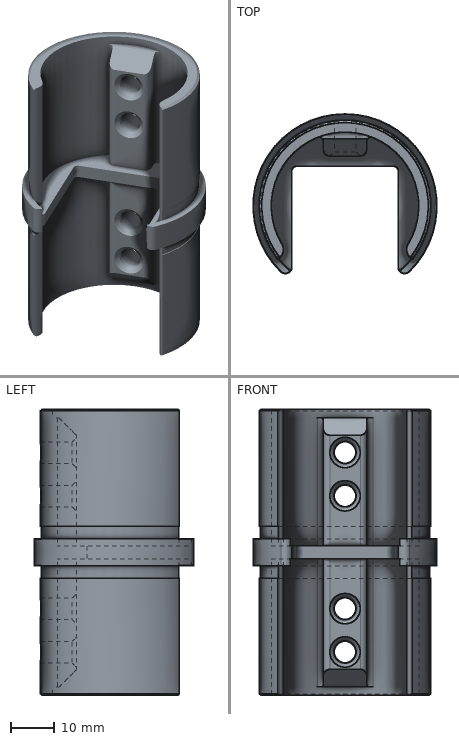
import cadquery as cq
import math

tube_length = 66.0
tube_radius = 19.8
bore_radius = 17.0
end_chamfer_height = 0.4
end_chamfer_depth = 0.6
lip_round = 2.5
tube_end_angle = -38.4
waist_radius = 19.6
waist_length = 12.0

collar_radius = 21.2
collar_height = 6.2
web_height = 3.0
slot_width = 24.5
slot_floor_y = 9.1
slot_corner_round = 1.0
tip_round = 1.5

rib_length = 62.0
rib_width = 10.0
rib_front_y = 11.5
rib_edge_round = 1.5
rib_root_round = 1.0
rib_end_slope = 4.0

hole_diameter = 5.0
countersink_diameter = 7.0
hole_heights = (-23.0, -13.0, 13.0, 23.0)


def polar(radius, degrees):
    angle = math.radians(degrees)
    return (radius * math.cos(angle), radius * math.sin(angle))


def mirrored(point):
    return (-point[0], point[1])


def centred_disc(radius, height):
    return cq.Workplane("XY").circle(radius).extrude(height / 2, both=True)


def tube_blank():
    """C-shaped tube with radial end faces, rounded into the bore."""
    lip_centre_radius = bore_radius + lip_round
    lip_angle = tube_end_angle + math.degrees(math.asin(lip_round / lip_centre_radius))
    lip_centre = polar(lip_centre_radius, lip_angle)
    bore_end = polar(bore_radius, lip_angle)
    face_start = polar(math.sqrt(lip_centre_radius**2 - lip_round**2), tube_end_angle)
    face_end = polar(tube_radius, tube_end_angle)
    lip_offset = polar(lip_round, (lip_angle + 180 + tube_end_angle + 270) / 2)
    lip_middle = (lip_centre[0] + lip_offset[0], lip_centre[1] + lip_offset[1])
    return (
        cq.Workplane("XY")
        .moveTo(*face_end)
        .threePointArc((0, tube_radius), mirrored(face_end))
        .lineTo(*mirrored(face_start))
        .threePointArc(mirrored(lip_middle), mirrored(bore_end))
        .threePointArc((0, bore_radius), bore_end)
        .threePointArc(lip_middle, face_start)
        .close()
        .extrude(tube_length / 2, both=True)
    )


def end_cone():
    """Tapered top slice of the tube envelope, giving its end chamfer."""
    return (
        cq.Workplane("XY", origin=(0, 0, tube_length / 2 - end_chamfer_height))
        .circle(tube_radius)
        .workplane(offset=end_chamfer_height)
        .circle(tube_radius - end_chamfer_depth)
        .loft(ruled=True)
    )


def make_tube():
    envelope = (
        centred_disc(tube_radius, tube_length - 2 * end_chamfer_height)
        .union(end_cone())
        .union(end_cone().mirror("XY"))
    )
    waist_groove = centred_disc(collar_radius, waist_length).cut(centred_disc(waist_radius, waist_length))
    return tube_blank().intersect(envelope).cut(waist_groove)


def make_rib():
    """Rib blending into the bore, with rounded front edges and sloped ends."""
    half_width = rib_width / 2
    root_x = half_width + rib_root_round
    root_y = math.sqrt((bore_radius - rib_root_round) ** 2 - root_x**2)
    root_scale = bore_radius / (bore_radius - rib_root_round)
    bore_contact = (root_x * root_scale, root_y * root_scale)
    root_angle = (180 + math.degrees(math.atan2(root_y, root_x))) / 2
    root_offset = polar(rib_root_round, root_angle)
    root_middle = (root_x + root_offset[0], root_y + root_offset[1])
    wall_middle = (0, (bore_radius + tube_radius) / 2)

    profile = (
        cq.Workplane("XY")
        .moveTo(-half_width, rib_front_y)
        .lineTo(half_width, rib_front_y)
        .lineTo(half_width, root_y)
        .threePointArc(root_middle, bore_contact)
        .threePointArc(wall_middle, mirrored(bore_contact))
        .threePointArc(mirrored(root_middle), (-half_width, root_y))
        .close()
        .extrude(rib_length / 2, both=True)
    )
    rib = profile.faces("<Y").edges("|Z").fillet(rib_edge_round)

    half_length = rib_length / 2
    side_outline = (
        cq.Workplane("YZ")
        .moveTo(rib_front_y, half_length - rib_end_slope)
        .lineTo(rib_front_y + rib_end_slope, half_length)
        .lineTo(tube_radius, half_length)
        .lineTo(tube_radius, -half_length)
        .lineTo(rib_front_y + rib_end_slope, -half_length)
        .lineTo(rib_front_y, rib_end_slope - half_length)
        .close()
        .extrude(bore_radius, both=True)
    )
    return rib.intersect(side_outline)


def collar_outline(height):
    """Disc with a round-cornered slot open toward -Y and rounded tips."""
    half_slot = slot_width / 2
    tip_x = half_slot + tip_round
    tip_y = -math.sqrt((collar_radius - tip_round) ** 2 - tip_x**2)
    tip_angle = math.degrees(math.atan2(tip_y, tip_x))
    rim_end = polar(collar_radius, tip_angle)
    tip_offset = polar(tip_round, (tip_angle - 180) / 2)
    tip_middle = (tip_x + tip_offset[0], tip_y + tip_offset[1])
    slot_end = (half_slot, tip_y)
    outline = (
        cq.Workplane("XY")
        .moveTo(*rim_end)
        .threePointArc((0, collar_radius), mirrored(rim_end))
        .threePointArc(mirrored(tip_middle), mirrored(slot_end))
        .lineTo(-half_slot, slot_floor_y)
        .lineTo(half_slot, slot_floor_y)
        .lineTo(*slot_end)
        .threePointArc(tip_middle, rim_end)
        .close()
        .extrude(height / 2, both=True)
    )
    slot_floor = outline.faces(cq.selectors.NearestToPointSelector((0, slot_floor_y, 0)))
    return slot_floor.edges("|Z").fillet(slot_corner_round)


def make_collar():
    ring = collar_outline(collar_height).cut(centred_disc(waist_radius, collar_height))
    return ring.union(collar_outline(web_height))


def screw_hole(height):
    hole_radius = hole_diameter / 2
    sink_radius = countersink_diameter / 2
    sink_depth = sink_radius - hole_radius
    return (
        cq.Workplane("XY")
        .moveTo(0, rib_front_y)
        .lineTo(sink_radius, rib_front_y)
        .lineTo(hole_radius, rib_front_y + sink_depth)
        .lineTo(hole_radius, collar_radius)
        .lineTo(0, collar_radius)
        .close()
        .revolve(360, (0, 0, 0), (0, 1, 0))
        .translate((0, 0, height))
    )


result = make_tube().union(make_rib()).union(make_collar())
for hole_height in hole_heights:
    result = result.cut(screw_hole(hole_height))